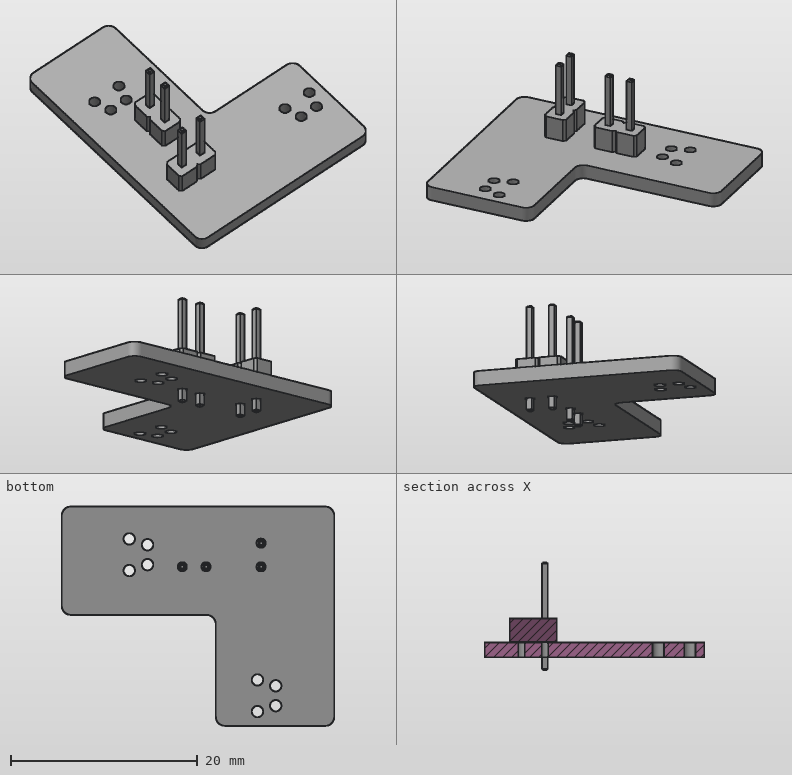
import cadquery as cq

BOARD_LENGTH = 29.2
BOARD_DEPTH = 23.5
BOARD_THICKNESS = 1.6
STEP_X = 16.5
STEP_Y = 11.63
CORNER_RADIUS = 1.0

MOUNT_HOLE_DIAMETER = 1.2
PAIR_SPACING_X = 1.95
WIDE_PAIR_SPACING = 3.4
NARROW_PAIR_SPACING = 2.13
MOUNT_GROUP_CENTERS = [(7.25, 5.17), (20.97, 20.27)]

PITCH = 2.55
PIN_COUNT = 2
HOUSING_HEIGHT = PITCH
HOUSING_CHAMFER = 0.25
PIN_WIDTH = 0.65
PIN_ABOVE_HOUSING = 6.0
PIN_BELOW_HOUSING = 3.0
PIN_LENGTH = PIN_BELOW_HOUSING + HOUSING_HEIGHT + PIN_ABOVE_HOUSING
PIN_TIP_CHAMFER = PIN_WIDTH / 4
PIN_HOLE_DIAMETER = 1.0
HOUSING_GAP = 0.05

HEADER_PLACES = [(14.2, 6.45, 0), (21.35, 5.2, 90)]

PIN_OFFSETS = [(i - (PIN_COUNT - 1) / 2) * PITCH for i in range(PIN_COUNT)]


def mount_hole_points(center_x, center_y):
    """Centers of the four holes in one mounting group."""
    points = []
    for x, spacing in [(center_x, WIDE_PAIR_SPACING), (center_x + PAIR_SPACING_X, NARROW_PAIR_SPACING)]:
        points.append((x, center_y - spacing / 2))
        points.append((x, center_y + spacing / 2))
    return points


def drill(board, points, diameter):
    """Cut round holes right through the board."""
    holes = cq.Workplane("XY").pushPoints(points).circle(diameter / 2).extrude(BOARD_THICKNESS)
    return board.cut(holes)


def make_board():
    """L-shaped plate with rounded corners, mounting holes and pin holes."""
    outline = [
        (0, 0),
        (BOARD_LENGTH, 0),
        (BOARD_LENGTH, BOARD_DEPTH),
        (STEP_X, BOARD_DEPTH),
        (STEP_X, STEP_Y),
        (0, STEP_Y),
    ]
    board = cq.Workplane("XY").polyline(outline).close().extrude(BOARD_THICKNESS)
    board = board.edges("|Z").fillet(CORNER_RADIUS)

    for center_x, center_y in MOUNT_GROUP_CENTERS:
        board = drill(board, mount_hole_points(center_x, center_y), MOUNT_HOLE_DIAMETER)

    for center_x, center_y, angle in HEADER_PLACES:
        header_plane = cq.Plane(origin=(center_x, center_y, 0)).rotated((0, 0, angle))
        pin_points = [header_plane.toWorldCoords((offset, 0)).toTuple()[:2] for offset in PIN_OFFSETS]
        board = drill(board, pin_points, PIN_HOLE_DIAMETER)
    return board


def make_header(center_x, center_y, angle):
    """Housing of corner-chamfered blocks in a row, one with its pins, just above the board."""
    header = cq.Workplane("XY")
    for offset in PIN_OFFSETS:
        block = (
            cq.Workplane("XY")
            .box(PITCH, PITCH, HOUSING_HEIGHT, centered=(True, True, False))
            .edges("|Z")
            .chamfer(HOUSING_CHAMFER)
        )
        pin = (
            cq.Workplane("XY")
            .box(PIN_WIDTH, PIN_WIDTH, PIN_LENGTH, centered=(True, True, False))
            .faces("<Z or >Z")
            .chamfer(PIN_TIP_CHAMFER)
            .translate((0, 0, -PIN_BELOW_HOUSING))
        )
        header = header.union(block.union(pin).translate((offset, 0, 0)))
    header = header.rotate((0, 0, 0), (0, 0, 1), angle)
    return header.translate((center_x, center_y, BOARD_THICKNESS + HOUSING_GAP))


board = make_board()
headers = [make_header(*place) for place in HEADER_PLACES]

result = cq.Compound.makeCompound([board.solids().val(), *[header.solids().val() for header in headers]])